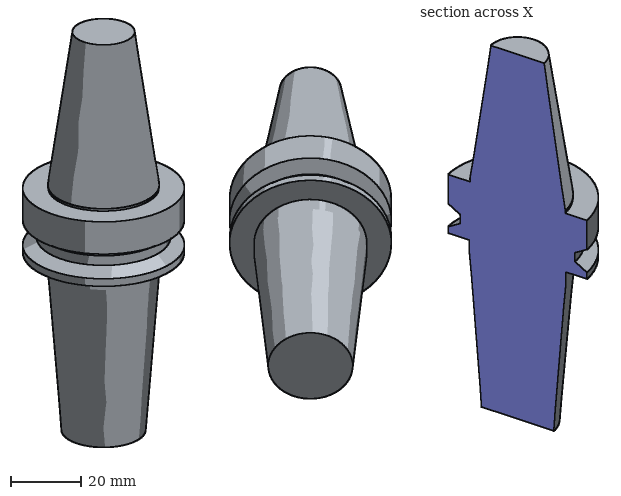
import cadquery as cq

total_length = 124.6
flange_diameter = 46.0
groove_diameter = 38.1
gauge_diameter = 31.8
neck_diameter = 31.5
nose_diameter = 32.0
nose_tip_diameter = 24.0

taper_length = 48.1
taper_rate = 7 / 24
taper_tip_diameter = gauge_diameter - taper_rate * taper_length

neck_length = 0.7
upper_rim_length = 10.1
groove_side_length = 2.4
groove_floor_length = 3.0
lower_rim_length = 2.4
collar_length = 4.4

gauge_z = total_length - taper_length
flange_top_z = gauge_z - neck_length
upper_rim_z = flange_top_z - upper_rim_length
groove_top_z = upper_rim_z - groove_side_length
groove_bottom_z = groove_top_z - groove_floor_length
lower_rim_z = groove_bottom_z - groove_side_length
flange_bottom_z = lower_rim_z - lower_rim_length
nose_taper_z = flange_bottom_z - collar_length

profile = [
    (nose_tip_diameter, 0),
    (nose_diameter, nose_taper_z),
    (nose_diameter, flange_bottom_z),
    (flange_diameter, flange_bottom_z),
    (flange_diameter, lower_rim_z),
    (groove_diameter, groove_bottom_z),
    (groove_diameter, groove_top_z),
    (flange_diameter, upper_rim_z),
    (flange_diameter, flange_top_z),
    (neck_diameter, flange_top_z),
    (neck_diameter, gauge_z),
    (gauge_diameter, gauge_z),
    (taper_tip_diameter, total_length),
]

half_section = [(0, 0)]
half_section += [(diameter / 2, z) for diameter, z in profile]
half_section += [(0, total_length)]
result = (
    cq.Workplane("XZ")
    .polyline(half_section)
    .close()
    .revolve(360, (0, 0, 0), (0, 1, 0))
)